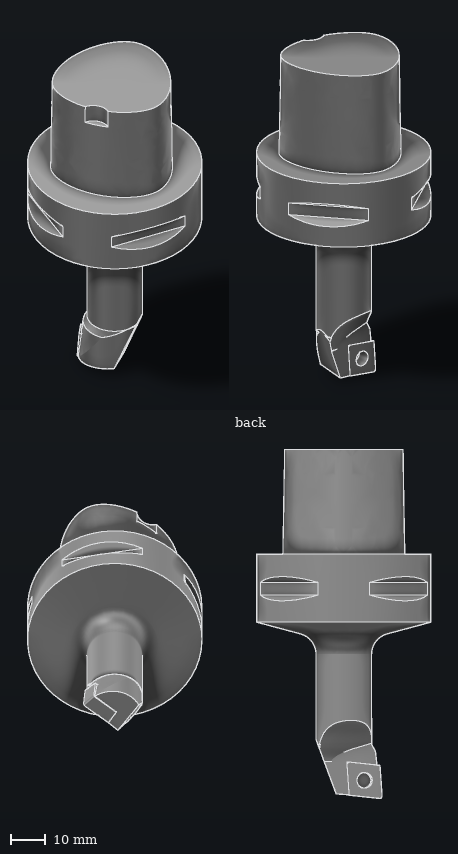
import cadquery as cq
import math


shank_height = 30.0
shank_base_radius = 17.5
shank_top_radius = 17.0
lobe_offset = 1.1

notch_depth = 5.5
notch_radius = 4.6
notch_floor_y = -14.1

flange_radius = 50.0 / 2
flange_height = 19.5
slot_floor_distance = 22.1
slot_floor_height = 3.6
slot_center_z = -9.9
slot_flare = 30.0
slot_length = 30.0
slot_count = 4

bar_radius = 16.0 / 2
neck_slope = 15.0
neck_fillet = 6.0

tool_bottom = -70.0
collar_top = -54.5
collar_bottom = -56.5
head_radius = 9.1
head_flare = 6.3
head_offset = 1.5

back_top_x = 8.1
back_top_z = -52.8
back_slope = 20.3
end_height = -68.7
end_slope_x = 5.0
end_slope_y = 7.0

flute_turn = 15.0
flute_start = (8.0, -47.6)
flute_middle = (3.4, -51.9)
flute_end = (0.8, -59.4)
flute_floor = -4.0
land_turn = 8.5
land_center_y = 1.25

insert_angle = 80.0
insert_circle = 9.5
insert_thickness = 3.9
insert_clearance = 7.0
insert_turn = 6.0
insert_rake = 6.0
nose_radius = 0.8
nose_min_x = -11.0
insert_hole = 4.4

margin = 40.0


def sin(angle):
    return math.sin(math.radians(angle))


def cos(angle):
    return math.cos(math.radians(angle))


def tan(angle):
    return math.tan(math.radians(angle))


def lobed_wire(radius, z):
    """Closed three-lobed curve with one lobe towards +Y."""
    def point(t):
        a = 2 * math.pi * t
        along = radius * math.cos(a) + 2 * lobe_offset * math.cos(2 * a) - lobe_offset * math.cos(4 * a)
        across = radius * math.sin(a) - 2 * lobe_offset * math.sin(2 * a) - lobe_offset * math.sin(4 * a)
        return (-across, along, z)

    steps = 48
    edge = cq.Edge.makeSpline([cq.Vector(*point(i / steps)) for i in range(steps)], periodic=True)
    return cq.Wire.assembleEdges([edge])


def make_shank():
    base = lobed_wire(shank_base_radius, 0)
    top = lobed_wire(shank_top_radius, shank_height)
    shank = cq.Workplane(cq.Solid.makeLoft([base, top], True))
    notch = (
        cq.Workplane("XY", origin=(0, notch_floor_y - notch_radius, shank_height - notch_depth))
        .circle(notch_radius)
        .extrude(notch_depth)
    )
    return shank.cut(notch)


def make_flange_and_bar():
    """Turned flange, conical neck, fillet, bar and widening head."""
    arc_center_r = bar_radius + neck_fillet
    neck_end_r = arc_center_r - neck_fillet * sin(neck_slope)
    neck_end_z = -flange_height - (flange_radius - neck_end_r) * tan(neck_slope)
    bar_top = neck_end_z - neck_fillet * cos(neck_slope)
    half_turn = (90 - neck_slope) / 2
    arc_middle = (arc_center_r - neck_fillet * cos(half_turn), bar_top + neck_fillet * sin(half_turn))
    head_end_r = head_radius + (collar_bottom - tool_bottom) * tan(head_flare)
    return (
        cq.Workplane("XZ")
        .lineTo(flange_radius, 0)
        .lineTo(flange_radius, -flange_height)
        .lineTo(neck_end_r, neck_end_z)
        .threePointArc(arc_middle, (bar_radius, bar_top))
        .lineTo(bar_radius, collar_top)
        .lineTo(head_radius, collar_bottom)
        .lineTo(head_end_r, tool_bottom)
        .lineTo(0, tool_bottom)
        .close()
        .revolve(360, (0, 0), (0, 1))
    )


def gripper_slot(angle):
    """Flat-bottomed slot across the flange rim, flaring outwards."""
    depth = flange_radius - slot_floor_distance
    inner = slot_floor_height / 2
    outer = inner + depth * tan(slot_flare)
    return (
        cq.Workplane("XZ", origin=(0, slot_length / 2, slot_center_z))
        .moveTo(slot_floor_distance, -inner)
        .lineTo(flange_radius, -outer)
        .lineTo(flange_radius, outer)
        .lineTo(slot_floor_distance, inner)
        .close()
        .extrude(slot_length)
        .rotate((0, 0, 0), (0, 0, 1), angle)
    )


def head_trim():
    """Ring outside the offset head cylinder, below the top of the collar."""
    return (
        cq.Workplane("XY", origin=(-head_offset, 0, collar_top))
        .circle(margin)
        .circle(head_radius)
        .extrude(tool_bottom - collar_top)
    )


def back_relief():
    """Wedge behind the sloping +X face of the head."""
    drop = back_top_z - tool_bottom
    return (
        cq.Workplane("XZ", origin=(0, margin / 2, 0))
        .moveTo(back_top_x, back_top_z)
        .lineTo(back_top_x - drop * tan(back_slope), tool_bottom)
        .lineTo(margin, tool_bottom)
        .lineTo(margin, back_top_z)
        .close()
        .extrude(margin)
    )


def end_relief():
    """Block below the end face, which rises towards +X and -Y."""
    return (
        cq.Workplane("XY")
        .box(margin, margin, margin, centered=(True, True, False))
        .translate((0, 0, -margin))
        .rotate((0, 0, 0), (0, 1, 0), -end_slope_x)
        .rotate((0, 0, 0), (1, 0, 0), -end_slope_y)
        .translate((0, 0, end_height))
    )


def chip_flute():
    """Material removed above both the curved run-out and the flat land."""
    run_out = (
        cq.Workplane("YZ", origin=(-margin / 2, 0, 0))
        .moveTo(*flute_start)
        .threePointArc(flute_middle, flute_end)
        .lineTo(flute_floor, flute_end[1])
        .lineTo(flute_floor, tool_bottom)
        .lineTo(margin, tool_bottom)
        .lineTo(margin, flute_start[1])
        .close()
        .extrude(margin)
        .rotate((0, 0, 0), (0, 0, 1), flute_turn)
    )
    above_land = (
        cq.Workplane("XY", origin=(0, 0, tool_bottom))
        .box(2 * margin, margin, margin, centered=(True, False, False))
        .rotate((0, 0, 0), (0, 0, 1), land_turn)
        .translate((0, land_center_y, 0))
    )
    return run_out.intersect(above_land)


insert_edge = insert_circle / sin(insert_angle)
tip_reach = nose_radius / sin(insert_angle / 2)
tip_direction = insert_turn + insert_angle / 2
tip_x = nose_min_x + nose_radius - tip_reach * cos(tip_direction)
tip_z = tool_bottom + nose_radius - tip_reach * sin(tip_direction)
half_diagonal = insert_edge * cos(insert_angle / 2)
insert_center_x = tip_x + half_diagonal * cos(tip_direction)
insert_center_z = tip_z + half_diagonal * sin(tip_direction)


def place_insert(shape):
    """Turn a shape whose long diagonal lies along X and move it to the insert pocket."""
    return (
        shape.rotate((0, 0, 0), (0, 1, 0), -tip_direction)
        .translate((insert_center_x, 0, insert_center_z))
        .rotate((nose_min_x, 0, 0), (nose_min_x, 0, 1), insert_rake)
    )


def rhombus():
    """Sharp-cornered insert outline with its long diagonal along X, on the plane y = 0."""
    short_half = insert_edge * sin(insert_angle / 2)
    corners = [(-half_diagonal, 0), (0, -short_half), (half_diagonal, 0), (0, short_half)]
    return cq.Workplane("XZ").polyline(corners).close()


def insert_blank():
    """Insert without its hole, tapering by the clearance angle towards -Y."""
    blank = (
        rhombus()
        .extrude(insert_thickness, taper=insert_clearance)
        .edges("(<X or >X) and (not #Y)")
        .fillet(nose_radius)
    )
    return place_insert(blank)


def make_insert():
    hole = cq.Workplane("XZ").circle(insert_hole / 2).extrude(insert_thickness)
    return insert_blank().cut(place_insert(hole))


def make_holder():
    holder = make_flange_and_bar()
    for i in range(slot_count):
        holder = holder.cut(gripper_slot((i + 0.5) * 360 / slot_count))
    holder = holder.cut(head_trim()).cut(back_relief()).cut(end_relief()).cut(chip_flute())
    opening = place_insert(rhombus().extrude(-margin / 2))
    holder = holder.cut(insert_blank()).cut(opening)
    return holder.union(make_shank())


holder = make_holder()
insert = make_insert()
result = cq.Compound.makeCompound([holder.solids().val(), insert.solids().val()])